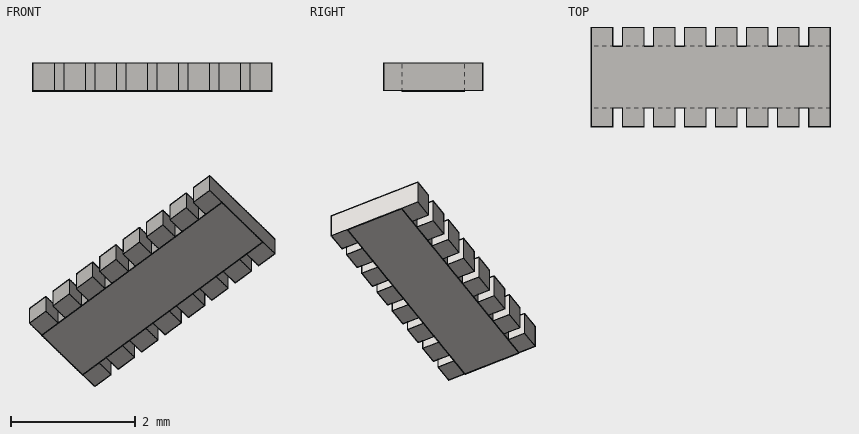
import cadquery as cq

length = 3.85
width = 1.6
total_height = 0.46

teeth_per_side = 8
notch_width = 0.15
notch_depth = 0.3
notch_count = teeth_per_side - 1
tooth_width = (length - notch_count * notch_width) / teeth_per_side
pitch = tooth_width + notch_width

film_thickness = 0.01
film_width = width - 2 * notch_depth
body_height = total_height - film_thickness


def make_body():
    """Rectangular block with evenly spaced notches through both long edges."""
    body = cq.Workplane("XY").box(length, width, body_height, centered=(True, True, False))
    notch_y = (width - notch_depth) / 2
    for side in (-1, 1):
        for index in range(notch_count):
            notch_x = (index - (notch_count - 1) / 2) * pitch
            notch = (
                cq.Workplane("XY")
                .box(notch_width, notch_depth, body_height, centered=(True, True, False))
                .translate((notch_x, side * notch_y, 0))
            )
            body = body.cut(notch)
    return body


def make_film():
    """Flat strip whose top face touches the underside of the body."""
    return (
        cq.Workplane("XY")
        .box(length, film_width, film_thickness, centered=(True, True, False))
        .translate((0, 0, -film_thickness))
    )


body = make_body()
film = make_film()
result = cq.Compound.makeCompound([body.val(), film.val()])